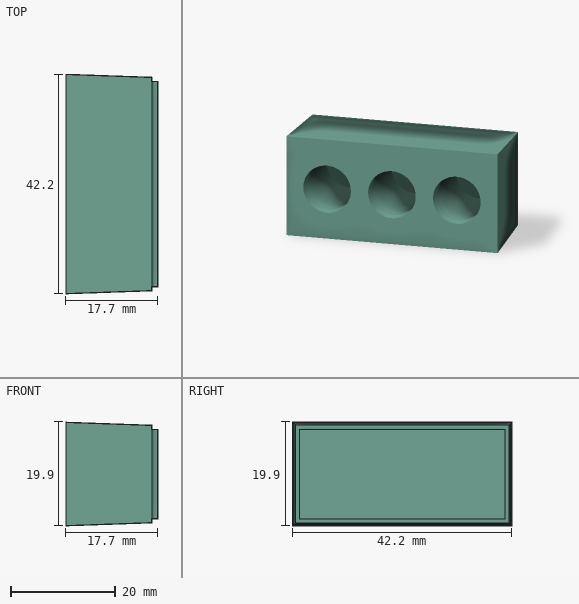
import cadquery as cq

body_width = 42.2
body_height = 19.9
total_depth = 17.7
draft_angle = 2.0

plate_depth = 1.2
plate_width = 39.5
plate_height = 17.2
body_depth = total_depth - plate_depth

hole_diameter = 9.5
hole_pitch = 12.95
hole_count = 3
hole_depth = body_depth


def make_body():
    """Block along X whose four sides lean inward by the draft angle."""
    return cq.Workplane("YZ").rect(body_width, body_height).extrude(body_depth, taper=draft_angle)


def make_plate():
    """Straight-sided plate on the narrow end of the body."""
    return (
        cq.Workplane("YZ")
        .workplane(offset=body_depth)
        .rect(plate_width, plate_height)
        .extrude(plate_depth)
    )


def make_holes():
    """Evenly spaced cylinders along Y, starting at the wide face."""
    return (
        cq.Workplane("YZ")
        .rarray(hole_pitch, 0.42, hole_count, 1)
        .circle(hole_diameter / 2)
        .extrude(hole_depth)
    )


result = make_body().union(make_plate()).cut(make_holes())